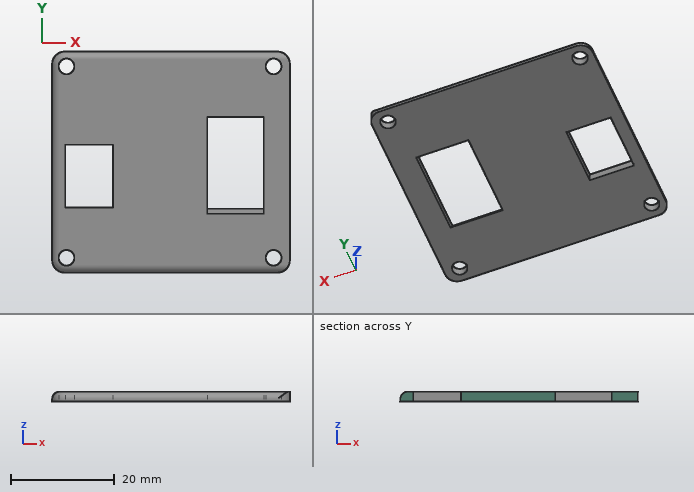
import cadquery as cq

length = 46.0
width = 42.8
thickness = 2.0
corner_radius = 2.5
edge_radius = 1.5

hole_diameter = 3.0
hole_spacing_x = 40.0
hole_spacing_y = 37.0
hole_pattern_shift_x = -0.2

small_window_size = (9.2, 12.1)
small_window_center = (-15.82, -2.7)
large_window_size = (10.85, 18.7)
large_window_center = (12.45, -0.65)
ramp_run = 1.0


def make_plate():
    """Plate with rounded corners and a rounded top rim on every side but +X."""
    rim = (
        cq.Workplane("XY")
        .box(length, width, thickness, centered=(True, True, False))
        .edges("|Z and <X")
        .fillet(corner_radius)
        .faces(">Z")
        .edges("not(>X)")
        .fillet(edge_radius)
    )
    outline = (
        cq.Workplane("XY")
        .box(length, width, thickness, centered=(True, True, False))
        .edges("|Z and >X")
        .fillet(corner_radius)
    )
    return rim.intersect(outline)


def make_screw_holes():
    return (
        cq.Workplane("XY")
        .center(hole_pattern_shift_x, 0)
        .rect(hole_spacing_x, hole_spacing_y, forConstruction=True)
        .vertices()
        .circle(hole_diameter / 2)
        .extrude(thickness)
    )


def make_small_window():
    return cq.Workplane("XY").center(*small_window_center).rect(*small_window_size).extrude(thickness)


def make_large_window():
    """Through window whose -Y wall is a ramp; its YZ profile is extruded along X."""
    size_x, size_y = large_window_size
    center_x, center_y = large_window_center
    back = center_y + size_y / 2
    front = center_y - size_y / 2
    profile = [(front + ramp_run, 0), (back, 0), (back, thickness), (front, thickness)]
    return (
        cq.Workplane("YZ", origin=(center_x - size_x / 2, 0, 0))
        .polyline(profile)
        .close()
        .extrude(size_x)
    )


result = (
    make_plate()
    .cut(make_screw_holes())
    .cut(make_small_window())
    .cut(make_large_window())
)